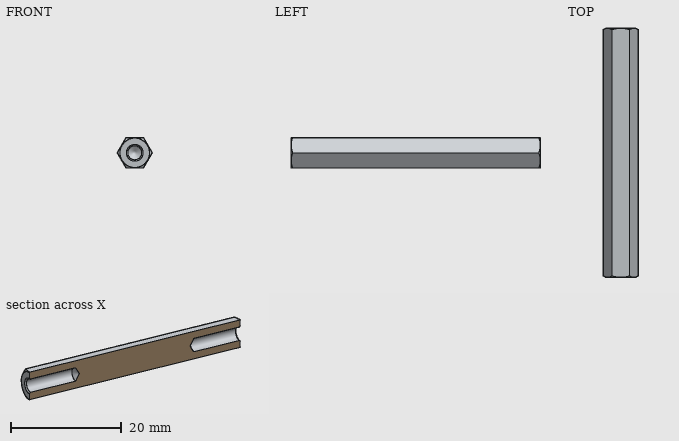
import cadquery as cq
import math

length = 45.0
across_flats = 5.5
across_corners = across_flats / math.cos(math.pi / 6)

face_diameter = 5.3
chamfer_angle = 30.0

hole_diameter = 2.5
mouth_diameter = 3.0
hole_depth = 9.9
drill_point_angle = 118.0

half_length = length / 2
corner_radius = across_corners / 2
face_radius = face_diameter / 2
chamfer_length = (corner_radius - face_radius) * math.tan(math.radians(chamfer_angle))


def revolve_about_y(points):
    """Revolve a closed (radius, y) outline about the Y axis."""
    return cq.Workplane("XY").polyline(points).close().revolve(360, (0, 0, 0), (0, 1, 0))


def hex_bar():
    """Hexagonal bar with corners pointing along X and flats facing Z."""
    return (
        cq.Workplane("XZ")
        .polygon(6, across_corners)
        .extrude(half_length, both=True)
    )


def chamfer_envelope():
    """Round envelope whose conical ends trim the hexagon corners."""
    shoulder = half_length - chamfer_length
    clearance = 0.45
    outer_radius = corner_radius + clearance
    outer_y = shoulder - clearance * math.tan(math.radians(chamfer_angle))
    return revolve_about_y([
        (0, -half_length),
        (face_radius, -half_length),
        (outer_radius, -outer_y),
        (outer_radius, outer_y),
        (face_radius, half_length),
        (0, half_length),
    ])


def end_hole(side):
    """Blind hole entering from the end at side * half_length."""
    hole_radius = hole_diameter / 2
    mouth_radius = mouth_diameter / 2
    countersink_depth = mouth_radius - hole_radius
    point_depth = hole_radius / math.tan(math.radians(drill_point_angle / 2))
    return revolve_about_y([
        (0, side * half_length),
        (mouth_radius, side * half_length),
        (hole_radius, side * (half_length - countersink_depth)),
        (hole_radius, side * (half_length - hole_depth)),
        (0, side * (half_length - hole_depth - point_depth)),
    ])


result = hex_bar().intersect(chamfer_envelope())
for side in (-1, 1):
    result = result.cut(end_hole(side))